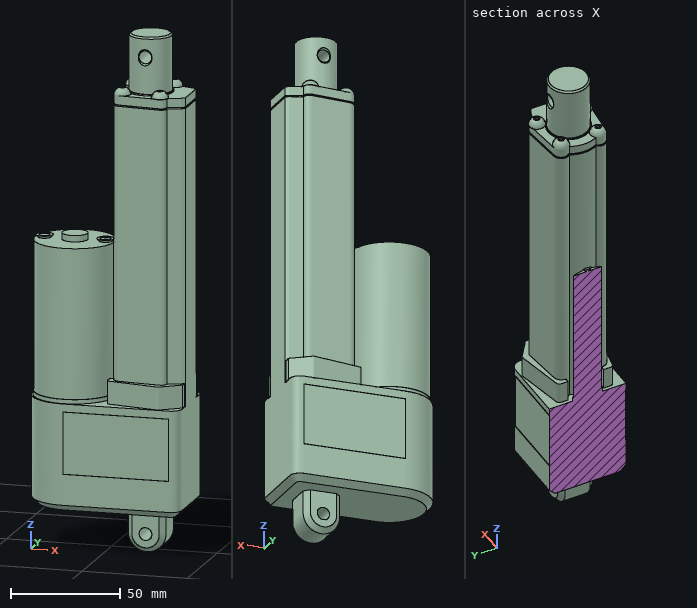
import cadquery as cq
import math


overall_length = 75.04
overall_width = 40.0
overall_height = 243.0

box_half_width = overall_width / 2
motor_x = -36.0
box_x_max = 19.0
box_x_min = box_x_max - overall_length
box_bottom_z = 19.7
box_top_z = 70.4
box_corner_radius = 5.0
box_bottom_chamfer = 3.0
lid_split_z = 37.3
panel_top_z = 66.6
panel_depth = 0.2

tang_width = 18.0
tang_radius = tang_width / 2
tang_chamfer = 2.5
tang_hole_diameter = 6.0

motor_diameter = 38.0
motor_top_z = 143.4
motor_ring_diameter = 38.5
motor_ring_height = 2.0
motor_boss_diameter = 12.0
motor_boss_height = 3.0
motor_screw_offset = 14.5
motor_screw_diameter = 8.0
motor_screw_foot_diameter = 6.0
motor_screw_rim_height = 1.2
motor_screw_button_diameter = 5.0
motor_screw_button_top_diameter = 3.6
motor_screw_button_height = 0.7
motor_screw_socket_size = 2.2
motor_screw_socket_depth = 0.8

tube_top_z = 215.6
cap_height = 4.4
cap_groove_height = 0.6
cap_groove_depth = 0.2
bore_bulge_radius = 15.5
inner_screw = (-10.8, 9.6)
outer_screw = (7.8, 12.2)
inner_lobe_radius = 4.0
outer_lobe_center = (8.5, 12.8)
outer_lobe_radius = 2.8
inner_lobe_end_angle = 222
outer_lobe_end_angle = -10
tube_corner = (17.4, 10.3)
tube_face_half_width = 9.2

bracket_top_z = 81.2
bracket_left_x = -16.9
bracket_left_inner_y = 9.2
bracket_left_outer_y = 14.3
bracket_peak = (8.9, 19.4)
bracket_right_x = 18.6
bracket_right_y = 12.4
bracket_peak_radius = 1.2
bracket_left_radius = 1.8

cap_screw_diameter = 8.0
cap_screw_top_diameter = 3.0
cap_screw_height = 3.2
cap_screw_socket_size = 1.8
cap_screw_socket_depth = 1.5

rod_diameter = 20.0
rod_chamfer = 0.8
rod_seal_diameter = 21.0
rod_seal_height = 0.6
rod_hole_diameter = 6.0
rod_hole_countersink = 7.6
rod_hole_from_top = 9.6


def at_height(z):
    """Horizontal workplane at height z."""
    return cq.Workplane("XY", origin=(0, 0, z))


def join(first, second):
    """Fuse two bodies and keep the lines where their faces meet."""
    return first.union(second, clean=False)


def mirror_y(point):
    """The same point on the other side of the XZ plane."""
    return (point[0], -point[1])


def on_circle(center, radius, angle):
    """Point on a circle at an angle in degrees from +X."""
    turn = math.radians(angle)
    return (center[0] + radius * math.cos(turn), center[1] + radius * math.sin(turn))


def box_slab(bottom_z, top_z):
    """Housing slab: two arcs meet at a seam below the motor, small corners at the tube end."""
    seam = (box_x_min, 0)
    reach = motor_x - box_x_min
    round_radius = (reach**2 + box_half_width**2) / (2 * box_half_width)
    round_center = (motor_x, round_radius - box_half_width)
    half_sweep = 0.5 * math.degrees(math.atan2(reach, round_center[1]))
    round_mid = on_circle(round_center, round_radius, 270 - half_sweep)
    return (
        at_height(bottom_z)
        .moveTo(motor_x, -box_half_width)
        .lineTo(box_x_max, -box_half_width)
        .lineTo(box_x_max, box_half_width)
        .lineTo(motor_x, box_half_width)
        .threePointArc(mirror_y(round_mid), seam)
        .threePointArc(round_mid, (motor_x, -box_half_width))
        .close()
        .extrude(top_z - bottom_z)
        .edges("|Z and >X")
        .fillet(box_corner_radius)
    )


def make_gearbox():
    """Housing with a shallow panel on each flat side and a chamfered lid underneath."""
    body = box_slab(lid_split_z, box_top_z)
    panel_right_x = box_x_max - box_corner_radius
    panel_size = (panel_right_x - motor_x, panel_depth, panel_top_z - lid_split_z)
    for side in (-1, 1):
        center = (
            (motor_x + panel_right_x) / 2,
            side * (box_half_width - panel_depth / 2),
            (lid_split_z + panel_top_z) / 2,
        )
        body = body.cut(cq.Workplane("XY").box(*panel_size).translate(center))
    lid = box_slab(box_bottom_z, lid_split_z)
    lid = lid.faces("<Z").chamfer(box_bottom_chamfer)
    return join(body, lid)


def make_tang():
    """Rounded, chamfered mounting tang with a cross hole."""
    tang = (
        cq.Workplane("XZ", origin=(0, tang_width / 2, 0))
        .moveTo(-tang_radius, box_bottom_z)
        .lineTo(-tang_radius, tang_radius)
        .threePointArc((0, 0), (tang_radius, tang_radius))
        .lineTo(tang_radius, box_bottom_z)
        .close()
        .extrude(tang_width)
    )
    tang = tang.faces("<Y or >Y").edges("not >Z").chamfer(tang_chamfer)
    hole = (
        cq.Workplane("XZ", origin=(0, tang_width / 2, 0))
        .center(0, tang_radius)
        .circle(tang_hole_diameter / 2)
        .extrude(tang_width)
    )
    return tang.cut(hole)


def make_motor_screw(x):
    """Screw head with a rim that flares upward and a small socketed button."""
    rim_top = motor_screw_rim_height
    button_top = rim_top + motor_screw_button_height
    head = (
        cq.Workplane("XZ")
        .polyline([
            (0, 0),
            (motor_screw_foot_diameter / 2, 0),
            (motor_screw_diameter / 2, rim_top),
            (motor_screw_button_diameter / 2, rim_top),
            (motor_screw_button_top_diameter / 2, button_top),
            (0, button_top),
        ])
        .close()
        .revolve(360, (0, 0, 0), (0, 1, 0))
    )
    socket = (
        at_height(button_top - motor_screw_socket_depth)
        .polygon(6, motor_screw_socket_size)
        .extrude(motor_screw_socket_depth)
    )
    return head.cut(socket).translate((x, 0, motor_top_z))


def make_motor():
    """Motor can with a base ring, an end boss and two screws."""
    motor = (
        at_height(box_top_z)
        .center(motor_x, 0)
        .circle(motor_diameter / 2)
        .extrude(motor_top_z - box_top_z)
    )
    ring = (
        at_height(box_top_z)
        .center(motor_x, 0)
        .circle(motor_ring_diameter / 2)
        .extrude(motor_ring_height)
    )
    boss = (
        at_height(motor_top_z)
        .center(motor_x, 0)
        .circle(motor_boss_diameter / 2)
        .extrude(motor_boss_height)
    )
    motor = join(join(motor, ring), boss)
    for side in (-1, 1):
        motor = join(motor, make_motor_screw(motor_x + side * motor_screw_offset))
    return motor


def tube_outline(workplane):
    """Closed section: a lobe around each screw and a bulge around the rod bore."""
    run = outer_lobe_center[0] - inner_screw[0]
    rise = outer_lobe_center[1] - inner_screw[1]
    side_angle = 90 + math.degrees(
        math.atan2(rise, run)
        - math.asin((inner_lobe_radius - outer_lobe_radius) / math.hypot(run, rise))
    )
    inner_mid_angle = (inner_lobe_end_angle + side_angle) / 2
    outer_mid_angle = (outer_lobe_end_angle + side_angle) / 2
    inner_start = on_circle(inner_screw, inner_lobe_radius, inner_lobe_end_angle)
    inner_mid = on_circle(inner_screw, inner_lobe_radius, inner_mid_angle)
    inner_stop = on_circle(inner_screw, inner_lobe_radius, side_angle)
    outer_start = on_circle(outer_lobe_center, outer_lobe_radius, side_angle)
    outer_mid = on_circle(outer_lobe_center, outer_lobe_radius, outer_mid_angle)
    outer_stop = on_circle(outer_lobe_center, outer_lobe_radius, outer_lobe_end_angle)
    face_end = (box_x_max, tube_face_half_width)
    return (
        workplane.moveTo(*mirror_y(inner_start))
        .threePointArc((-bore_bulge_radius, 0), inner_start)
        .threePointArc(inner_mid, inner_stop)
        .lineTo(*outer_start)
        .threePointArc(outer_mid, outer_stop)
        .lineTo(*tube_corner)
        .lineTo(*face_end)
        .lineTo(*mirror_y(face_end))
        .lineTo(*mirror_y(tube_corner))
        .lineTo(*mirror_y(outer_stop))
        .threePointArc(mirror_y(outer_mid), mirror_y(outer_start))
        .lineTo(*mirror_y(inner_stop))
        .threePointArc(mirror_y(inner_mid), mirror_y(inner_start))
        .close()
    )


def make_tube():
    """Outer tube and its end cap, parted by a shallow groove."""
    cap_bottom_z = tube_top_z - cap_height
    groove_bottom_z = cap_bottom_z - cap_groove_height
    tube = tube_outline(at_height(box_top_z)).extrude(groove_bottom_z - box_top_z)
    neck = (
        tube_outline(at_height(groove_bottom_z))
        .offset2D(-cap_groove_depth)
        .extrude(cap_groove_height)
    )
    cap = tube_outline(at_height(cap_bottom_z)).extrude(cap_height)
    return join(join(tube, neck), cap)


def make_bracket_side():
    """One of the two tapered walls holding the foot of the tube."""
    mid_z = (box_top_z + bracket_top_z) / 2
    return (
        at_height(box_top_z)
        .polyline([
            (bracket_left_x, bracket_left_inner_y),
            (bracket_left_x, bracket_left_outer_y),
            bracket_peak,
            (bracket_right_x, bracket_right_y),
            (bracket_right_x, 0),
            (0, 0),
            (0, bracket_left_inner_y),
        ])
        .close()
        .extrude(bracket_top_z - box_top_z)
        .edges(cq.NearestToPointSelector((*bracket_peak, mid_z)))
        .fillet(bracket_peak_radius)
        .edges(cq.NearestToPointSelector((bracket_left_x, bracket_left_outer_y, mid_z)))
        .fillet(bracket_left_radius)
    )


def make_bracket():
    """Both walls of the collar, mirrored about the XZ plane."""
    wall = make_bracket_side()
    return wall.union(wall.mirror("XZ"))


def make_cap_screw(point):
    """Domed socket-head screw standing on the tube cap."""
    radius = cap_screw_diameter / 2
    top_radius = cap_screw_top_diameter / 2
    dome_center_z = (top_radius**2 + cap_screw_height**2 - radius**2) / (2 * cap_screw_height)
    dome_radius = math.hypot(radius, dome_center_z)
    dome_mid = on_circle((0, dome_center_z), dome_radius, 45)
    head = (
        cq.Workplane("XZ")
        .lineTo(radius, 0)
        .threePointArc(dome_mid, (top_radius, cap_screw_height))
        .lineTo(0, cap_screw_height)
        .close()
        .revolve(360, (0, 0, 0), (0, 1, 0))
    )
    socket = (
        at_height(cap_screw_height - cap_screw_socket_depth)
        .polygon(6, cap_screw_socket_size)
        .extrude(cap_screw_socket_depth)
    )
    return head.cut(socket).translate((point[0], point[1], tube_top_z))


def make_rod():
    """Rod end with a countersunk cross hole and a seal lip at the cap."""
    rod = (
        at_height(tube_top_z)
        .circle(rod_diameter / 2)
        .extrude(overall_height - tube_top_z)
        .faces(">Z")
        .chamfer(rod_chamfer)
    )
    hole_z = overall_height - rod_hole_from_top
    hole_radius = rod_hole_diameter / 2
    rim_radius = rod_hole_countersink / 2
    rim_y = rod_diameter / 2
    throat_y = rim_y - (rim_radius - hole_radius)
    cross_hole = (
        cq.Workplane("XY")
        .polyline([
            (0, -rim_y),
            (rim_radius, -rim_y),
            (hole_radius, -throat_y),
            (hole_radius, throat_y),
            (rim_radius, rim_y),
            (0, rim_y),
        ])
        .close()
        .revolve(360, (0, 0, 0), (0, 1, 0))
        .translate((0, 0, hole_z))
    )
    seal = at_height(tube_top_z).circle(rod_seal_diameter / 2).extrude(rod_seal_height)
    return join(rod.cut(cross_hole), seal)


result = make_gearbox()
for body in (make_tang(), make_motor(), make_bracket(), make_tube(), make_rod()):
    result = join(result, body)
for screw in (inner_screw, outer_screw):
    result = join(result, make_cap_screw(screw))
    result = join(result, make_cap_screw(mirror_y(screw)))